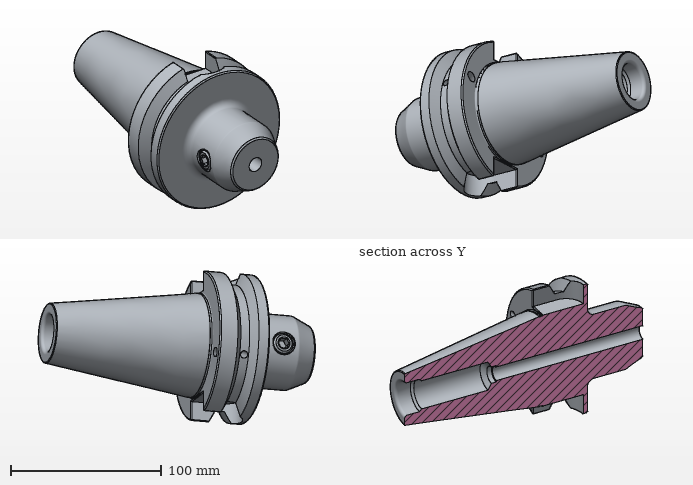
import cadquery as cq
import math

gauge_x = 101.8
gauge_radius = 34.9
taper_ratio = 7 / 24
shank_end_radius = gauge_radius - gauge_x * taper_ratio / 2
shank_end_chamfer = 0.5

undercut_x = 102.7
undercut_radius = 34.7
undercut_fillet = 0.7
flange_x = 104.9
flange_end_x = 139.8
flange_radius = 50.0
flange_chamfer = 0.9
groove_radius = 42.4
groove_start_x = 117.3
groove_floor_start_x = 121.8
groove_floor_end_x = 128.0
groove_end_x = 132.0

total_length = 181.8
nose_diameter = 50.0
nose_radius = nose_diameter / 2
nose_fillet = 4.7
nose_cone_x = 168.5
nose_cone_blend = 0.5
nose_end_radius = 19.5
nose_end_chamfer = 1.0

slot_half_width = 12.9
slot_end_x = 136.2
slot_floor = 35.3
slot_chamfer = 0.7

mouth_radius = 12.4
mouth_fillet = 2.2
mouth_depth = 11.5
thread_radius = 10.7
thread_end_x = 63.6
drill_point_angle = 120.0
drill_end_radius = 6.2
drill_end_length = 3.6
through_radius = 5.0

channel_angle = 20.0
channel_mouth_radius = 41.8
channel_tilt = 40.0
channel_bore_radius = 3.0
port_diameter = 4.9
port_radius = port_diameter / 2
port_x = (groove_floor_start_x + groove_floor_end_x) / 2

screw_x = 157.8
screw_face_y = -24.7
screw_radius = 6.9
screw_face_radius = 5.6
screw_chamfer = screw_radius - screw_face_radius
screw_tip_y = -7.3
hex_across_flats = 6.5
hex_chamfer_radius = 4.2
hex_chamfer_depth = 0.5
hex_depth = 7.3
screw_hole_mouth_radius = 7.8
screw_hole_mouth_y = -23.5

clearance = 1.8


def make_blank():
    cone_angle = math.atan2(
        nose_radius - nose_end_radius, total_length - nose_end_chamfer - nose_cone_x
    )
    blend_end = (
        nose_cone_x + nose_cone_blend * math.cos(cone_angle),
        nose_radius - nose_cone_blend * math.sin(cone_angle),
    )
    outline = (
        cq.Workplane("XY")
        .moveTo(0, 0)
        .lineTo(0, shank_end_radius - shank_end_chamfer)
        .lineTo(shank_end_chamfer, shank_end_radius + shank_end_chamfer * taper_ratio / 2)
        .lineTo(gauge_x, gauge_radius)
        .lineTo(undercut_x, gauge_radius)
        .lineTo(undercut_x + gauge_radius - undercut_radius, undercut_radius)
        .lineTo(flange_x - undercut_fillet, undercut_radius)
        .radiusArc((flange_x, undercut_radius + undercut_fillet), -undercut_fillet)
        .lineTo(flange_x, flange_radius - flange_chamfer)
        .lineTo(flange_x + flange_chamfer, flange_radius)
        .lineTo(groove_start_x, flange_radius)
        .lineTo(groove_floor_start_x, groove_radius)
        .lineTo(groove_floor_end_x, groove_radius)
        .lineTo(groove_end_x, flange_radius)
        .lineTo(flange_end_x - flange_chamfer, flange_radius)
        .lineTo(flange_end_x, flange_radius - flange_chamfer)
        .lineTo(flange_end_x, nose_radius + nose_fillet)
        .radiusArc((flange_end_x + nose_fillet, nose_radius), -nose_fillet)
        .lineTo(nose_cone_x - nose_cone_blend, nose_radius)
        .tangentArcPoint(blend_end, relative=False)
        .lineTo(total_length - nose_end_chamfer, nose_end_radius)
        .lineTo(total_length, nose_end_radius - nose_end_chamfer)
        .lineTo(total_length, 0)
        .close()
    )
    return outline.revolve(360, (0, 0, 0), (1, 0, 0))


def make_bore():
    thread_lead = mouth_radius - thread_radius
    cone_length = (thread_radius - drill_end_radius) / math.tan(math.radians(drill_point_angle / 2))
    cone_end_x = thread_end_x + cone_length
    outline = (
        cq.Workplane("XY")
        .moveTo(0, 0)
        .lineTo(0, mouth_radius + mouth_fillet)
        .radiusArc((mouth_fillet, mouth_radius), -mouth_fillet)
        .lineTo(mouth_depth, mouth_radius)
        .lineTo(mouth_depth + thread_lead, thread_radius)
        .lineTo(thread_end_x, thread_radius)
        .lineTo(cone_end_x, drill_end_radius)
        .lineTo(cone_end_x + drill_end_length, drill_end_radius)
        .lineTo(cone_end_x + drill_end_length, through_radius)
        .lineTo(total_length, through_radius)
        .lineTo(total_length, 0)
        .close()
    )
    return outline.revolve(360, (0, 0, 0), (1, 0, 0))


def make_slot(side):
    """Round-ended driving slot on the +Z (side = 1) or -Z (side = -1) flank of the flange."""
    height = flange_radius - slot_floor + clearance
    arc_center_x = slot_end_x - slot_half_width
    slot = (
        cq.Workplane("XY", origin=(0, 0, slot_floor))
        .moveTo(flange_x - clearance, -slot_half_width)
        .lineTo(arc_center_x, -slot_half_width)
        .threePointArc((slot_end_x, 0), (arc_center_x, slot_half_width))
        .lineTo(flange_x - clearance, slot_half_width)
        .close()
        .extrude(height)
    )
    face_chamfer = (
        cq.Workplane("YZ", origin=(flange_x, 0, slot_floor + height / 2))
        .rect(2 * (slot_half_width + slot_chamfer), height + 2 * slot_chamfer)
        .extrude(slot_chamfer, taper=45)
    )
    slot_rim = math.sqrt(flange_radius**2 - slot_half_width**2)
    rim_rise = 2 * slot_chamfer
    rim_chamfer = (
        cq.Workplane("YZ", origin=(flange_x, 0, slot_rim - slot_chamfer))
        .moveTo(-slot_half_width, 0)
        .lineTo(slot_half_width, 0)
        .line(rim_rise, rim_rise)
        .lineTo(-slot_half_width - rim_rise, rim_rise)
        .close()
        .extrude(groove_floor_start_x - flange_x)
    )
    slot = slot.union(face_chamfer).union(rim_chamfer)
    return slot if side > 0 else slot.mirror("XY")


def make_channel(turn):
    """Slanted hole in the flange face that meets a radial port from the groove floor."""
    tilt = math.radians(channel_tilt)
    axis = cq.Vector(math.cos(tilt), -math.sin(tilt), 0)
    mouth = cq.Vector(flange_x, channel_mouth_radius, 0)
    run_in = 2 * channel_bore_radius
    bore_length = (port_x - flange_x) / math.cos(tilt) + channel_bore_radius
    bore = cq.Solid.makeCylinder(channel_bore_radius, run_in + bore_length, mouth - axis * run_in, axis)
    meeting_radius = channel_mouth_radius - (port_x - flange_x) * math.tan(tilt)
    port = cq.Solid.makeCylinder(
        port_radius,
        flange_radius - meeting_radius,
        cq.Vector(port_x, meeting_radius, 0),
        cq.Vector(0, 1, 0),
    )
    return cq.Workplane(bore.fuse(port)).rotate((0, 0, 0), (1, 0, 0), turn)


def revolve_about_screw_axis(points):
    """Revolve a closed (radius, y) outline about the screw axis."""
    profile = cq.Workplane("XY").polyline([(screw_x + r, y) for r, y in points]).close()
    return profile.revolve(360, (screw_x, 0, 0), (screw_x, 1, 0))


def make_screw_hole():
    return revolve_about_screw_axis([
        (0, screw_tip_y),
        (screw_radius, screw_tip_y),
        (screw_radius, screw_hole_mouth_y + screw_hole_mouth_radius - screw_radius),
        (screw_hole_mouth_radius, screw_hole_mouth_y),
        (screw_hole_mouth_radius, -nose_radius - clearance),
        (0, -nose_radius - clearance),
    ])


def make_screw():
    body = revolve_about_screw_axis([
        (0, screw_tip_y),
        (screw_radius, screw_tip_y),
        (screw_radius, screw_face_y + screw_chamfer),
        (screw_face_radius, screw_face_y),
        (0, screw_face_y),
    ])
    hex_circle = hex_across_flats / math.cos(math.pi / 6)
    socket = (
        cq.Workplane("XZ", origin=(screw_x, screw_face_y, 0)).polygon(6, hex_circle).extrude(-hex_depth)
    )
    lead_in = revolve_about_screw_axis([
        (0, screw_face_y),
        (hex_chamfer_radius, screw_face_y),
        (hex_across_flats / 2, screw_face_y + hex_chamfer_depth),
        (0, screw_face_y + hex_chamfer_depth),
    ])
    return body.cut(socket).cut(lead_in)


holder = make_blank().cut(make_bore())
for side in (1, -1):
    holder = holder.cut(make_slot(side))
for turn in (channel_angle, channel_angle + 180):
    holder = holder.cut(make_channel(turn))
holder = holder.cut(make_screw_hole())
screw = make_screw()

result = cq.Compound.makeCompound([holder.solids().val(), screw.solids().val()])